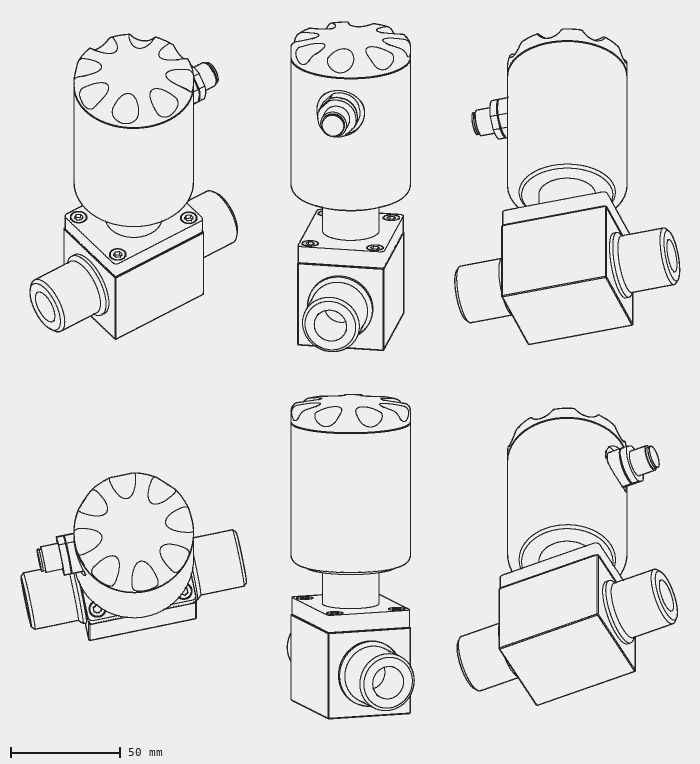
import cadquery as cq
import math

block_width = 40.0
block_length = 50.0
block_height = 40.0
block_edge_chamfer = 0.4
cover_thickness = 8.0
cover_corner_radius = 2.0
cover_top = block_height + cover_thickness

screw_inset = 5.0
screw_recess_diameter = 7.5
screw_head_diameter = 7.0
screw_ring_depth = 1.4
socket_sides = 6
socket_corner_diameter = 4.0
socket_depth = 2.0

pipe_span = 100.0
pipe_diameter = 26.3
pipe_end_chamfer = 1.4
collar_diameter = 30.0
collar_straight = 1.5
bore_diameter = 15.0
pipe_axis_z = block_height / 2

total_height = 142.2
housing_diameter = 54.5
housing_bottom = 66.5
housing_bottom_fillet = 4.0
neck_diameter = 25.9
base_disc_thickness = 1.4
base_disc_diameter = 43.8
base_disc_chamfer = 1.1
housing_radius = housing_diameter / 2

lid_joint_z = 131.7
lid_joint_width = 0.4
lid_joint_depth = 0.1
lid_shoulder_z = 136.5
lid_crown_radius = 24.2
lid_crown_z = 140.1
scoop_count = 8
scoop_diameter = 14.0
scoop_tilt = 30.0
scoop_rim_z = 134.3

connector_z = 114.6
spotface_diameter = 22.0
spotface_y = 24.5
nut_diameter = 17.9
nut_end_y = 34.1
nut_groove_y = 30.7
nut_groove_width = 0.4
nut_groove_depth = 0.1
nut_flats = {45: 8.4, 102: 8.8, 168: 8.8, 225: 8.4, 282: 8.8, 348: 8.8}
plug_diameter = 12.0
plug_end_y = 42.1
plug_tip_diameter = 10.2
plug_tip_neck_diameter = 9.7
plug_tip_neck_y = 43.1
plug_tip_end_y = 44.0


def make_block():
    block = cq.Workplane("XY").box(block_width, block_length, block_height, centered=(True, True, False))
    block = block.edges().chamfer(block_edge_chamfer)
    cover = (
        cq.Workplane("XY", origin=(0, 0, block_height))
        .rect(block_width, block_length)
        .extrude(cover_thickness)
        .edges("|Z")
        .fillet(cover_corner_radius)
    )
    return block.union(cover)


def cut_screws(body):
    """Ring gap around each flush screw head, and the hexagonal socket in its middle."""
    places = cq.Workplane("XY", origin=(0, 0, cover_top)).rect(
        block_width - 2 * screw_inset, block_length - 2 * screw_inset, forConstruction=True
    ).vertices()
    rings = places.circle(screw_recess_diameter / 2).circle(screw_head_diameter / 2).extrude(-screw_ring_depth)
    sockets = places.polygon(socket_sides, socket_corner_diameter).extrude(-socket_depth)
    return body.cut(rings).cut(sockets)


def make_pipe_end():
    """Pipe end on the -Y side, with a conical weld collar and a blind bore."""
    face_y = -block_length / 2
    end_y = -pipe_span / 2
    pipe_radius = pipe_diameter / 2
    collar_radius = collar_diameter / 2
    collar_cone_y = face_y - collar_straight
    profile = [
        (collar_radius, face_y),
        (collar_radius, collar_cone_y),
        (pipe_radius, collar_cone_y - (collar_radius - pipe_radius)),
        (pipe_radius, end_y + pipe_end_chamfer),
        (pipe_radius - pipe_end_chamfer, end_y),
        (bore_diameter / 2, end_y),
        (bore_diameter / 2, face_y),
    ]
    pipe = cq.Workplane("XY").polyline(profile).close().revolve(360, (0, 0, 0), (0, 1, 0))
    return pipe.translate((0, 0, pipe_axis_z))


def make_housing():
    """Neck, base disc, cylinder and domed lid as one turned body."""
    base_disc_bottom = housing_bottom - base_disc_thickness
    base_disc_radius = base_disc_diameter / 2
    bend = 1 - math.sqrt(0.5)
    bottom_bend = housing_bottom_fillet * bend
    lid_edge_width = housing_radius - lid_crown_radius
    lid_edge_height = lid_crown_z - lid_shoulder_z
    dome_drop = total_height - lid_crown_z
    dome_radius = (lid_crown_radius**2 + dome_drop**2) / (2 * dome_drop)
    dome_mid_x = lid_crown_radius / 2
    dome_mid_z = total_height - dome_radius + math.sqrt(dome_radius**2 - dome_mid_x**2)
    groove_radius = housing_radius - lid_joint_depth
    profile = (
        cq.Workplane("XZ")
        .moveTo(0, cover_top)
        .lineTo(neck_diameter / 2, cover_top)
        .lineTo(neck_diameter / 2, base_disc_bottom)
        .lineTo(base_disc_radius - base_disc_chamfer, base_disc_bottom)
        .lineTo(base_disc_radius, housing_bottom)
        .lineTo(housing_radius - housing_bottom_fillet, housing_bottom)
        .threePointArc(
            (housing_radius - bottom_bend, housing_bottom + bottom_bend),
            (housing_radius, housing_bottom + housing_bottom_fillet),
        )
        .lineTo(housing_radius, lid_joint_z - lid_joint_width / 2)
        .lineTo(groove_radius, lid_joint_z - lid_joint_width / 2)
        .lineTo(groove_radius, lid_joint_z + lid_joint_width / 2)
        .lineTo(housing_radius, lid_joint_z + lid_joint_width / 2)
        .lineTo(housing_radius, lid_shoulder_z)
        .threePointArc(
            (housing_radius - lid_edge_width * bend, lid_crown_z - lid_edge_height * bend),
            (lid_crown_radius, lid_crown_z),
        )
        .threePointArc((dome_mid_x, dome_mid_z), (0, total_height))
        .close()
    )
    return profile.revolve(360, (0, 0, 0), (0, 1, 0))


def cut_scoops(body):
    """Finger scoops around the lid: round cutters sloping down and outwards."""
    radius = scoop_diameter / 2
    tilt = math.radians(scoop_tilt)
    rim_point = cq.Vector(housing_radius, 0, scoop_rim_z)
    outward = cq.Vector(math.cos(tilt), 0, -math.sin(tilt))
    upward = cq.Vector(math.sin(tilt), 0, math.cos(tilt))
    start = rim_point + upward * radius - outward * housing_radius
    scoop = cq.Solid.makeCylinder(radius, 2 * housing_radius, start, outward)
    for index in range(scoop_count):
        angle = index * 360 / scoop_count
        body = body.cut(cq.Workplane(scoop.rotate(cq.Vector(), cq.Vector(0, 0, 1), angle)))
    return body


def disc_along_y(diameter, start_y, end_y):
    plane = cq.Plane(origin=(0, start_y, connector_z), xDir=(-1, 0, 0), normal=(0, 1, 0))
    return cq.Workplane(plane).circle(diameter / 2).extrude(end_y - start_y)


def make_nut():
    """Round nut with six flats and a fine groove."""
    nut = disc_along_y(nut_diameter, spotface_y, nut_end_y)
    for angle, distance in nut_flats.items():
        cutter = (
            cq.Workplane("XY")
            .box(nut_diameter, 2 * housing_diameter, nut_diameter)
            .translate((distance + nut_diameter / 2, 0, 0))
            .rotate((0, 0, 0), (0, 1, 0), -angle)
            .translate((0, 0, connector_z))
        )
        nut = nut.cut(cutter)
    groove_start = nut_groove_y - nut_groove_width / 2
    groove_end = nut_groove_y + nut_groove_width / 2
    core_diameter = 2 * (min(nut_flats.values()) - nut_groove_depth)
    groove = disc_along_y(nut_diameter, groove_start, groove_end).cut(
        disc_along_y(core_diameter, groove_start, groove_end)
    )
    return nut.cut(groove)


def make_plug():
    """Plug barrel with a necked tip."""
    profile = [
        (0, spotface_y),
        (plug_diameter / 2, spotface_y),
        (plug_diameter / 2, plug_end_y),
        (plug_tip_diameter / 2, plug_end_y),
        (plug_tip_neck_diameter / 2, plug_tip_neck_y),
        (plug_tip_diameter / 2, plug_tip_neck_y),
        (plug_tip_diameter / 2, plug_tip_end_y),
        (0, plug_tip_end_y),
    ]
    plug = cq.Workplane("XY").polyline(profile).close().revolve(360, (0, 0, 0), (0, 1, 0))
    return plug.translate((0, 0, connector_z))


housing = cut_scoops(make_housing())
housing = housing.cut(disc_along_y(spotface_diameter, spotface_y, housing_diameter))
pipe_end = make_pipe_end()

result = (
    cut_screws(make_block())
    .union(pipe_end)
    .union(pipe_end.mirror("XZ"))
    .union(housing)
    .union(make_nut())
    .union(make_plug())
)